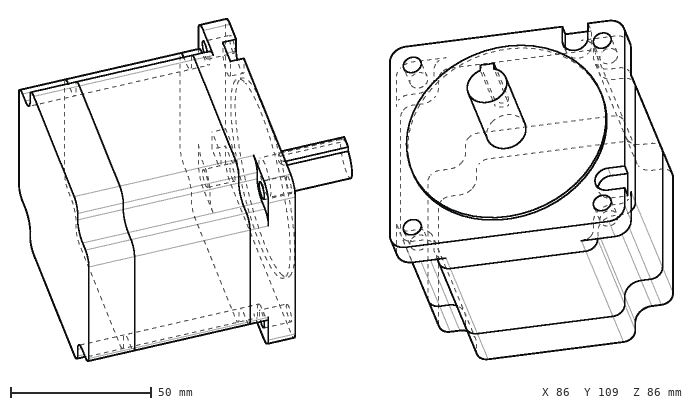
import cadquery as cq


body_width = 86.0
rear_cap_length = 17.0
stator_length = 43.1
front_length = 16.9
flange_thickness = 10.0
front_start = rear_cap_length + stator_length
front_face = front_start + front_length
flange_back = front_face - flange_thickness

flange_corner_radius = 5.9
notch_size = 13.8
notch_outer_radius = 4.4
notch_inner_radius = 6.0

hole_spacing = 69.5
hole_diameter = 6.5

boss_diameter = 73.0
boss_height = 1.6
boss_face = front_face + boss_height

slot_width = 9.4
slot_length = 10.9
slot_depth = 5.0
slot_offset = 24.9

overall_length = 109.0
shaft_diameter = 14.5
key_width = 5.0
key_top = 9.0
key_start = 83.7


def section_at(y):
    """Workplane across the shaft axis: local x is X, local y is Z, and -Y is its normal."""
    return cq.Workplane("XZ", origin=(0, y, 0))


def rounded_bar(start, length, width, height):
    """Bar along the shaft axis that spans `width` in X and `height` in Z, with round long edges."""
    bar = section_at(start).rect(width, height).extrude(-length)
    return bar.edges("|Y").fillet(notch_outer_radius)


def notched_block(start, end):
    """Square prism between two Y positions, with a rounded notch along each of its four corners."""
    length = end - start
    narrow_width = body_width - 2 * notch_size
    upright = rounded_bar(start, length, narrow_width, body_width)
    crossing = rounded_bar(start, length, body_width, narrow_width)
    block = upright.union(crossing)
    reach = (body_width - notch_size) / 2
    inner_corners = cq.selectors.BoxSelector((-reach, start, -reach), (reach, end, reach))
    return block.edges("|Y").edges(inner_corners).fillet(notch_inner_radius)


def edge_slot():
    """Round-ended slot that enters the front face from the +Z side."""
    top = body_width / 2
    arc_center = top - slot_length + slot_width / 2
    straight = section_at(front_face).center(-slot_offset, (top + arc_center) / 2)
    straight = straight.rect(slot_width, top - arc_center).extrude(slot_depth)
    round_end = section_at(front_face).center(-slot_offset, arc_center)
    round_end = round_end.circle(slot_width / 2).extrude(slot_depth)
    return straight.union(round_end)


def make_front_housing():
    """Flange with mounting holes, two edge slots, a pilot boss and a notched neck behind it."""
    flange = section_at(flange_back).rect(body_width, body_width).extrude(-flange_thickness)
    flange = flange.edges("|Y").fillet(flange_corner_radius)

    holes = section_at(flange_back).rect(hole_spacing, hole_spacing, forConstruction=True).vertices()
    holes = holes.circle(hole_diameter / 2).extrude(-flange_thickness)

    top_slot = edge_slot()
    side_slot = top_slot.rotate((0, 0, 0), (0, 1, 0), -90)

    boss = section_at(front_face).circle(boss_diameter / 2).extrude(-boss_height)
    neck = notched_block(front_start, flange_back)
    return flange.cut(holes).cut(top_slot).cut(side_slot).union(neck).union(boss)


def make_shaft():
    """Shaft that starts on the pilot boss, with its key on the +Z side."""
    shaft_length = overall_length - boss_face
    shaft = section_at(boss_face).circle(shaft_diameter / 2).extrude(-shaft_length)

    arc_center = key_start + key_width / 2
    key = (
        cq.Workplane("XY")
        .moveTo(-key_width / 2, overall_length)
        .lineTo(-key_width / 2, arc_center)
        .threePointArc((0, key_start), (key_width / 2, arc_center))
        .lineTo(key_width / 2, overall_length)
        .close()
        .extrude(key_top)
    )
    return shaft.union(key)


rear_cap = notched_block(0, rear_cap_length)
stator = notched_block(rear_cap_length, front_start)
front_housing = make_front_housing()
shaft = make_shaft()

result = cq.Compound.makeCompound([rear_cap.val(), stator.val(), front_housing.val(), shaft.val()])